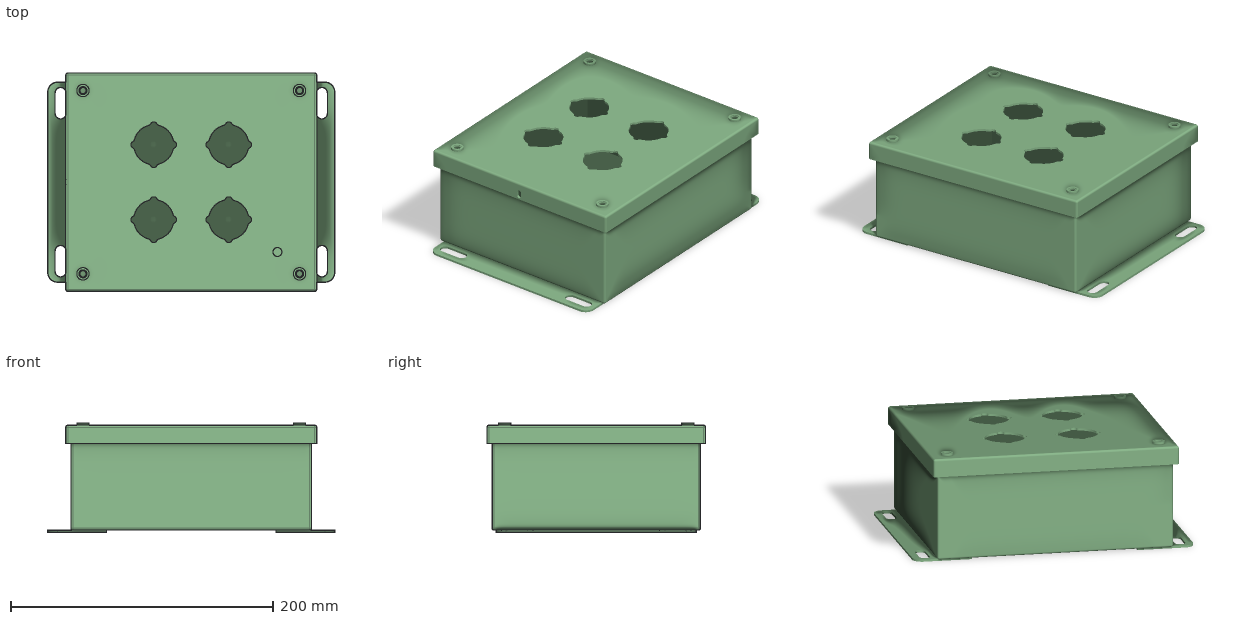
import cadquery as cq
import math

overall_length = 219.0
overall_height = 83.5
sheet = 1.66
bend_radius = 1.62

cover_length = 191.5
cover_width = 166.7
cover_height = 14.0
screw_head_height = 1.66
cover_top = overall_height - screw_head_height
cover_bottom = cover_top - cover_height
cover_underside = cover_top - sheet

skirt_clearance = 2.2
box_inset = sheet + skirt_clearance
box_length = cover_length - 2 * box_inset
box_width = cover_width - 2 * box_inset
strap_thickness = sheet
box_bottom = strap_thickness
box_height = cover_underside - box_bottom

strap_inner_x = 64.6
strap_length = overall_length / 2 - strap_inner_x
strap_width = 152.7
strap_corner_radius = 7.7
strap_slot_width = 8.0
strap_slot_length = 23.9
strap_slot_x = 99.7
strap_slot_y = 60.2

button_pitch = 57.2
button_diameter = 30.5
notch_span = 34.8
notch_diameter = 5.5
notch_root_fillet = 2.6

screw_pitch_x = 165.2
screw_pitch_y = 139.8
screw_head_diameter = 9.5
socket_mouth_diameter = 6.1
socket_mouth_depth = 0.7
socket_bore_diameter = 4.8
socket_depth = 2.6

skirt_slot_width = 3.7
skirt_slot_height = 6.5
skirt_slot_z = 72.3

plug_diameter = 6.8
plug_x = 65.7
plug_y = -53.2


def folded_block(length, width, height, bottom, flat_face):
    """Rectangular block with all edges rounded except those of one flat end face."""
    block = cq.Workplane("XY").box(length, width, height, centered=(True, True, False))
    block = block.edges("|Z").fillet(bend_radius)
    return block.faces(flat_face).edges().fillet(bend_radius).translate((0, 0, bottom))


def plain_block(length, width, height, bottom):
    """Sharp-edged block used to hollow out a folded block."""
    block = cq.Workplane("XY").box(length, width, height, centered=(True, True, False))
    return block.translate((0, 0, bottom))


def make_strap(side):
    """Slotted mounting strap under one end of the box (side is -1 or 1)."""
    outer_edge = ">X" if side > 0 else "<X"
    strap = (
        cq.Workplane("XY")
        .box(strap_length, strap_width, strap_thickness, centered=(True, True, False))
        .translate((side * (strap_inner_x + strap_length / 2), 0, 0))
        .faces(outer_edge)
        .edges("|Z")
        .fillet(strap_corner_radius)
    )
    slots = (
        cq.Workplane("XY")
        .pushPoints([(side * strap_slot_x, y) for y in (-strap_slot_y, strap_slot_y)])
        .slot2D(strap_slot_length, strap_slot_width, 90)
        .extrude(strap_thickness)
    )
    return strap.cut(slots)


def make_box():
    """Open-topped box with a mounting strap welded under each end."""
    outside = folded_block(box_length, box_width, box_height, box_bottom, "<Z")
    cavity = plain_block(
        box_length - 2 * sheet, box_width - 2 * sheet, box_height - sheet, box_bottom + sheet
    )
    box = outside.cut(cavity)
    for side in (-1, 1):
        box = box.union(make_strap(side))
    return box


def button_openings():
    """Cutters for the two-by-two group of notched push-button openings."""
    opening = cq.Workplane("XY").circle(button_diameter / 2).extrude(sheet)
    notches = (
        cq.Workplane("XY")
        .polarArray((notch_span - notch_diameter) / 2, 0, 360, 4)
        .circle(notch_diameter / 2)
        .extrude(sheet)
    )
    opening = opening.union(notches)
    notch_roots = opening.edges("|Z").filter(
        lambda edge: math.hypot(edge.Center().x, edge.Center().y) < (button_diameter + notch_span) / 4
    )
    opening = notch_roots.fillet(notch_root_fillet)
    centres = cq.Workplane("XY", origin=(0, 0, cover_underside)).rarray(button_pitch, button_pitch, 2, 2)
    return centres.eachpoint(opening.val(), combine=False)


def screw_centres(height):
    """Workplane at a given height with a point at each of the four cover screws."""
    return cq.Workplane("XY", origin=(0, 0, height)).rarray(screw_pitch_x, screw_pitch_y, 2, 2)


def screw_heads():
    """Four screw heads standing on the cover."""
    return screw_centres(cover_top).circle(screw_head_diameter / 2).extrude(screw_head_height)


def screw_sockets():
    """Cutters for the stepped drive sockets sunk from the top faces of the heads."""
    mouths = screw_centres(overall_height).circle(socket_mouth_diameter / 2).extrude(-socket_mouth_depth)
    bores = screw_centres(overall_height).circle(socket_bore_diameter / 2).extrude(-socket_depth)
    return mouths.union(bores)


def skirt_slot():
    """Cutter for the upright slot through the -X skirt of the cover."""
    return (
        cq.Workplane("YZ", origin=(-cover_length / 2, 0, skirt_slot_z))
        .slot2D(skirt_slot_height, skirt_slot_width, 90)
        .extrude(sheet)
    )


def make_plug():
    """Round plug filling its hole in the cover flush with both faces."""
    return (
        cq.Workplane("XY", origin=(plug_x, plug_y, cover_underside))
        .circle(plug_diameter / 2)
        .extrude(sheet)
    )


def make_cover():
    """Folded cover with screw heads, push-button openings, skirt slot and plug hole."""
    outside = folded_block(cover_length, cover_width, cover_height, cover_bottom, ">Z")
    cavity = plain_block(
        cover_length - 2 * sheet, cover_width - 2 * sheet, cover_height - sheet, cover_bottom
    )
    cover = outside.cut(cavity).cut(button_openings()).cut(skirt_slot()).cut(make_plug())
    return cover.union(screw_heads()).cut(screw_sockets())


box = make_box()
cover = make_cover()
plug = make_plug()

result = cq.Compound.makeCompound([box.val(), cover.val(), plug.val()])